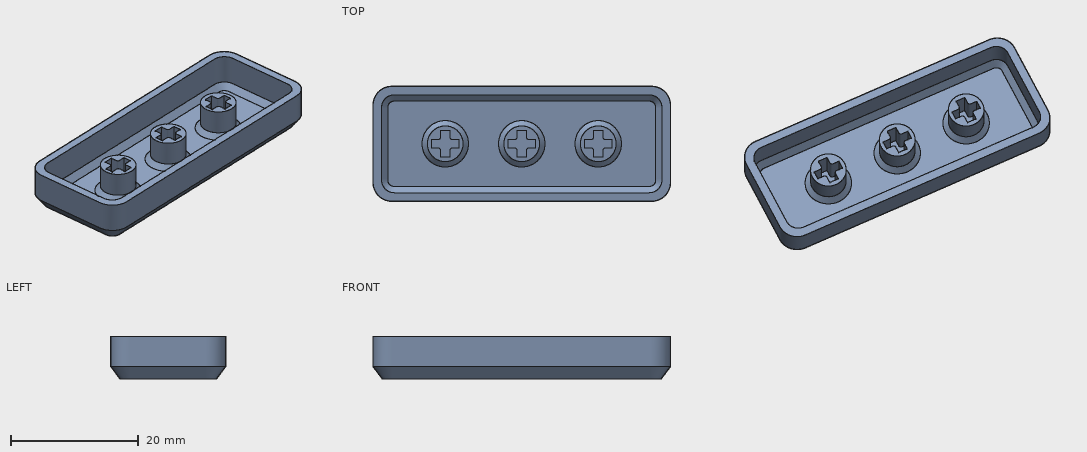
import cadquery as cq

length = 46.6
width = 18.05
height = 6.7
corner_radius = 3.0
base_bevel_height = 2.0
base_bevel_inset = 1.5

wall = 1.35
cavity_corner_radius = 2.0
floor_thickness = 1.03
floor_bevel_height = base_bevel_height - floor_thickness
floor_bevel_inset = 1.0

post_count = 3
post_spacing = 12.0
post_diameter = 5.6
post_top_gap = 1.0
foot_height = 0.85
foot_flare = 0.85

socket_length_x = 4.3
socket_length_y = 4.1
socket_slot_x = 1.3
socket_slot_y = 1.5
socket_edge_radius = 0.35

post_radius = post_diameter / 2
post_top = height - post_top_gap
socket_depth = post_top - floor_thickness


def rounded_block(size_x, size_y, radius, bottom, top):
    """Upright block with rounded vertical edges."""
    return (
        cq.Workplane("XY", origin=(0, 0, bottom))
        .rect(size_x, size_y)
        .extrude(top - bottom)
        .edges("|Z")
        .fillet(radius)
    )


def bevelled_block(size_x, size_y, radius, bottom, top, bevel_height, bevel_inset):
    """Rounded block whose bottom rim slopes inward all the way round."""
    bevel_top = bottom + bevel_height
    slope = (
        cq.Workplane("XY", origin=(0, 0, bevel_top))
        .placeSketch(
            cq.Sketch().rect(size_x, size_y).vertices().fillet(radius),
            cq.Sketch()
            .rect(size_x - 2 * bevel_inset, size_y - 2 * bevel_inset)
            .vertices()
            .fillet(radius - bevel_inset)
            .moved(cq.Location(cq.Vector(0, 0, -bevel_height))),
        )
        .loft()
    )
    return rounded_block(size_x, size_y, radius, bevel_top, top).union(slope)


def post():
    """Round post with a conical foot, centred on the Z axis."""
    foot_radius = post_radius + foot_flare
    profile = [
        (0, floor_thickness),
        (foot_radius, floor_thickness),
        (post_radius, floor_thickness + foot_height),
        (post_radius, post_top),
        (0, post_top),
    ]
    return cq.Workplane("XZ").polyline(profile).close().revolve(360, (0, 0), (0, 1))


def socket():
    """Cross-shaped cutter whose four re-entrant edges are rounded."""
    plane = cq.Workplane("XY", origin=(0, 0, post_top - socket_depth))
    bar_x = plane.rect(socket_length_x, socket_slot_x).extrude(socket_depth)
    bar_y = plane.rect(socket_slot_y, socket_length_y).extrude(socket_depth)
    inner_edges = cq.selectors.BoxSelector(
        (-socket_slot_y, -socket_slot_x, 0),
        (socket_slot_y, socket_slot_x, height),
    )
    return bar_x.union(bar_y).edges("|Z").edges(inner_edges).fillet(socket_edge_radius)


body = bevelled_block(
    length, width, corner_radius, 0, height, base_bevel_height, base_bevel_inset
)
cavity = bevelled_block(
    length - 2 * wall,
    width - 2 * wall,
    cavity_corner_radius,
    floor_thickness,
    height,
    floor_bevel_height,
    floor_bevel_inset,
)
result = body.cut(cavity)

socketed_post = post().cut(socket())
for index in range(post_count):
    post_x = (index - (post_count - 1) / 2) * post_spacing
    result = result.union(socketed_post.translate((post_x, 0, 0)))